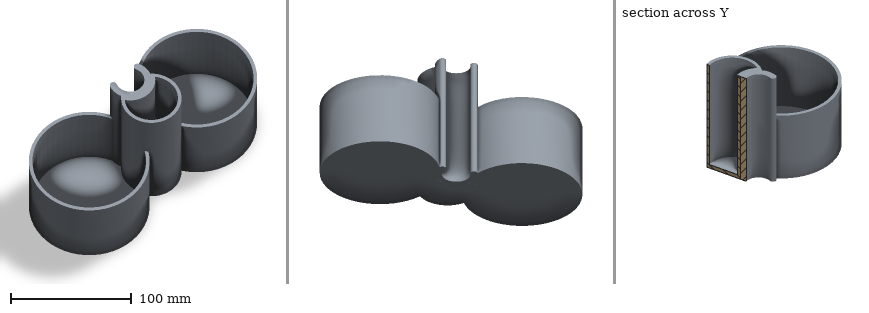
import cadquery as cq
import math

wall = 3.0
floor_thickness = 4.0

cup_radius = 50.0
cup_height = 64.0
cup_spacing = 122.37
cup_center_x = 15.45

clip_thickness = 6.0
clip_outer_radius = 17.8
clip_inner_radius = clip_outer_radius - clip_thickness
clip_mid_radius = clip_outer_radius - clip_thickness / 2
clip_tip_angle = 112.75

tube_radius = 25.0
tube_center_x = 25.53
tall_height = 105.0


def cylinder(radius, height, x=0.0, y=0.0, z=0.0):
    """Upright cylinder standing on height z."""
    return cq.Workplane("XY", origin=(x, y, z)).circle(radius).extrude(height)


def polar(radius, angle):
    """Point around the clip axis; angle in degrees from +X."""
    turn = math.radians(angle)
    return (radius * math.cos(turn), radius * math.sin(turn))


def make_clip():
    """C-shaped clip with semicircular tips."""
    tip_x, tip_y = polar(clip_mid_radius, clip_tip_angle)
    reach_x, reach_y = polar(clip_thickness / 2, clip_tip_angle + 90)
    upper_tip = (tip_x + reach_x, tip_y + reach_y)
    lower_tip = (upper_tip[0], -upper_tip[1])
    return (
        cq.Workplane("XY")
        .moveTo(*polar(clip_outer_radius, -clip_tip_angle))
        .threePointArc((clip_outer_radius, 0), polar(clip_outer_radius, clip_tip_angle))
        .threePointArc(upper_tip, polar(clip_inner_radius, clip_tip_angle))
        .threePointArc((clip_inner_radius, 0), polar(clip_inner_radius, -clip_tip_angle))
        .threePointArc(lower_tip, polar(clip_outer_radius, -clip_tip_angle))
        .close()
        .extrude(tall_height)
    )


def make_tube():
    """Crescent-shaped tube with a floor and an even wall, fitted around the clip."""
    outside = cylinder(tube_radius, tall_height, tube_center_x)
    clip_seat = cylinder(clip_outer_radius, tall_height)

    cavity_height = tall_height - floor_thickness
    cavity = cylinder(tube_radius - wall, cavity_height, tube_center_x, z=floor_thickness)
    seat_wall = cylinder(clip_outer_radius + wall, cavity_height, z=floor_thickness)
    return outside.cut(clip_seat).cut(cavity.cut(seat_wall))


def make_cup(center_y):
    """Round cup, notched where the clip and the tube pass through it."""
    outside = cylinder(cup_radius, cup_height, cup_center_x, center_y)
    cavity = cylinder(
        cup_radius - wall, cup_height - floor_thickness, cup_center_x, center_y, floor_thickness
    )
    clip_notch = cylinder(clip_outer_radius, cup_height)
    tube_notch = cylinder(tube_radius, cup_height, tube_center_x)
    return outside.cut(cavity).cut(clip_notch).cut(tube_notch)


clip = make_clip()
tube = make_tube()
cups = [make_cup(side * cup_spacing / 2) for side in (-1, 1)]

bodies = [clip, tube, *cups]
result = cq.Compound.makeCompound([body.solids().val() for body in bodies])